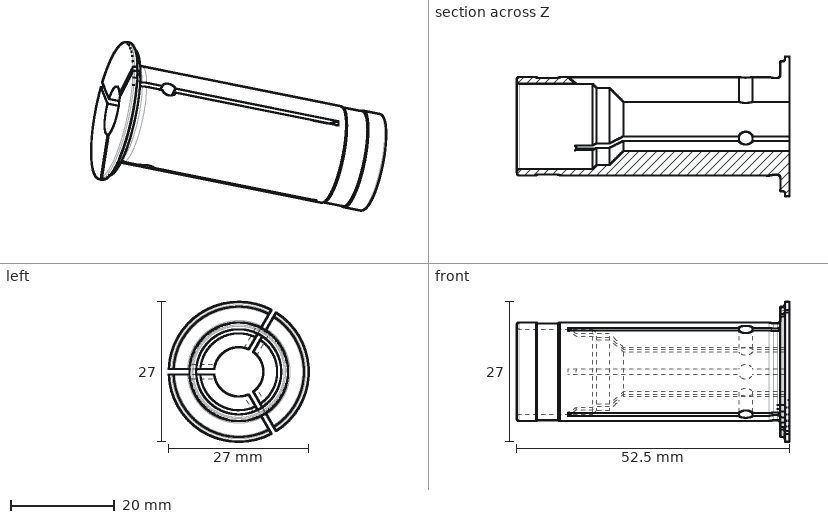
import cadquery as cq
import math

length = 52.5

body_radius = 9.5
relief_radius = 9.35
step_radius = 12.55
flange_radius = 13.5

nose_round = 0.45
relief_start = 3.75
relief_start_taper = 0.2
relief_end = 8.0
relief_end_taper = 0.3

neck_taper_start = 48.5
neck_start = 49.35
step_face = 50.65
flange_face = 51.55
neck_round = 0.5
step_edge_round = 0.25
step_root_round = 0.3
flange_edge_round = 0.25

wide_bore_radius = 8.2
middle_bore_radius = 7.4
narrow_bore_radius = 4.7
mouth_round = 0.6
wide_bore_end = 14.6
middle_bore_end = 17.85

slot_count = 3
slot_width = 1.0
slot_start = 9.8
slot_end_run = 1.65
hole_x = 44.05
hole_radius = 1.4


def arc_point(center, radius, angle):
    """Point on a circle in the (x, r) half plane, angle in degrees from +X."""
    turn = math.radians(angle)
    return (center[0] + radius * math.cos(turn), center[1] + radius * math.sin(turn))


def round_corner(profile, center, radius, start_angle, end_angle):
    """Continue the profile to the start of a corner arc and along it."""
    start = arc_point(center, radius, start_angle)
    middle = arc_point(center, radius, (start_angle + end_angle) / 2)
    end = arc_point(center, radius, end_angle)
    return profile.lineTo(*start).threePointArc(middle, end)


def revolve_about_axis(profile):
    return profile.close().revolve(360, (0, 0, 0), (1, 0, 0))


def make_outer_body():
    p = cq.Workplane("XY").moveTo(0, 0)
    p = round_corner(p, (nose_round, body_radius - nose_round), nose_round, 180, 90)
    p = p.lineTo(relief_start, body_radius)
    p = p.lineTo(relief_start + relief_start_taper, relief_radius)
    p = p.lineTo(relief_end, relief_radius)
    p = p.lineTo(relief_end + relief_end_taper, body_radius)
    p = p.lineTo(neck_taper_start, body_radius)
    p = p.lineTo(neck_start, relief_radius)
    p = round_corner(p, (step_face - neck_round, relief_radius + neck_round), neck_round, -90, 0)
    p = round_corner(p, (step_face + step_edge_round, step_radius - step_edge_round),
                     step_edge_round, 180, 90)
    p = round_corner(p, (flange_face - step_root_round, step_radius + step_root_round),
                     step_root_round, -90, 0)
    edge_r = flange_radius - flange_edge_round
    p = round_corner(p, (flange_face + flange_edge_round, edge_r), flange_edge_round, 180, 90)
    p = round_corner(p, (length - flange_edge_round, edge_r), flange_edge_round, 90, 0)
    return revolve_about_axis(p.lineTo(length, 0))


def make_bore():
    first_cone_depth = wide_bore_radius - middle_bore_radius
    second_cone_depth = middle_bore_radius - narrow_bore_radius
    p = cq.Workplane("XY").moveTo(0, 0)
    p = round_corner(p, (mouth_round, wide_bore_radius + mouth_round), mouth_round, 180, 270)
    p = p.lineTo(wide_bore_end, wide_bore_radius)
    p = p.lineTo(wide_bore_end + first_cone_depth, middle_bore_radius)
    p = p.lineTo(middle_bore_end, middle_bore_radius)
    p = p.lineTo(middle_bore_end + second_cone_depth, narrow_bore_radius)
    p = p.lineTo(length, narrow_bore_radius).lineTo(length, 0)
    return revolve_about_axis(p)


def make_slot_cutter():
    """One slot toward +Y: a flat blade with a sloping front end, plus its relief hole."""
    slope = slot_end_run / (body_radius - wide_bore_radius)
    beyond = 2 * flange_radius
    blade = (
        cq.Workplane("XY")
        .moveTo(slot_start + slope * body_radius, 0)
        .lineTo(slot_start - slope * (beyond - body_radius), beyond)
        .lineTo(length, beyond)
        .lineTo(length, 0)
        .close()
        .extrude(slot_width / 2, both=True)
    )
    hole = cq.Workplane("XZ").center(hole_x, 0).circle(hole_radius).extrude(-beyond)
    return blade.union(hole)


result = make_outer_body().cut(make_bore())
slot_cutter = make_slot_cutter()
for index in range(slot_count):
    result = result.cut(slot_cutter.rotate((0, 0, 0), (1, 0, 0), index * 360 / slot_count))